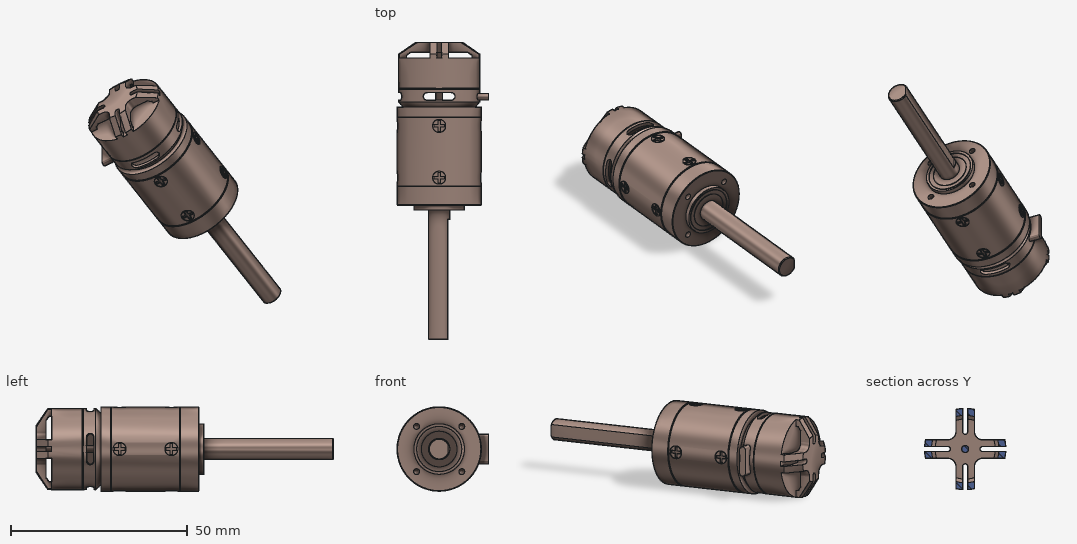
import cadquery as cq
import math


TOTAL_LENGTH = 84.2
GEARBOX_RADIUS = 11.95
GEARBOX_LENGTH = 27.8
EDGE_CHAMFER = 0.2
REAR_GROOVE_Y = -2.9
FRONT_GROOVE_Y = -22.4
GROOVE_WIDTH = 0.25
GROOVE_DEPTH = 0.2

BOSS_RADIUS = 7.15
BOSS_LENGTH = 1.35
BEARING_RADIUS = 6.4
BEARING_RECESS = 0.25
SEAL_RADIUS = 5.05
SEAL_HEIGHT = 0.2
MOUNT_HOLE_RADIUS = 0.8
MOUNT_HOLE_OFFSET = 6.4
MOUNT_HOLE_DEPTH = 3.4
DRILL_POINT_ANGLE = 118

SCREW_RADIUS = 1.85
SCREW_RECESS = 0.25
SCREW_YS = (-5.3, -19.95)
CROSS_LENGTH = 3.0
CROSS_WIDTH = 0.75
CROSS_DEPTH = 0.4

SHAFT_RADIUS = 3.0
SHAFT_CHAMFER = 0.25
FLAT_X = 2.4
FLAT_SETBACK = 2.6

MOTOR_LENGTH = 18.35
MOTOR_RADIUS = 11.5
WALL = 1.0
CONE_LENGTH = 1.5
CONE_RADIUS = 10.2
BASE_LENGTH = 5.05
BELL_GAP = 0.25
BELL_END_Y = 14.0
MOTOR_SHAFT_RADIUS = 1.0

WINDOW_LENGTH = 8.9
WINDOW_WIDTH = 2.1
WINDOW_Y = 3.0
WINDOW_ANGLES = (90, 180, 270)
CABLE_LENGTH = 8.5
CABLE_WIDTH = 1.85
CABLE_Y = 2.95
CABLE_END_X = 14.0

ARM_WIDTH = 5.3
ARM_THICKNESS = 2.9
ARM_FILLET = 2.3
ARM_FLAT_RADIUS = 6.65
LEG_HEIGHT = 1.0
LEG_INNER_RADIUS = 9.6
INNER_SLOPE_RADIUS = 8.5
INNER_LEG_HEIGHT = 0.7
ARM_SLOT_WIDTH = 1.35
ARM_SLOT_START = 4.2

CLEARANCE = 0.8

QUARTER_TURNS = (0, 90, 180, 270)


def revolved(points):
    """Solid of revolution about Y from (radius, y) points."""
    return cq.Workplane("XY").polyline(points).close().revolve(360, (0, 0), (0, 1))


def cylinder(radius, y_start, y_end):
    """Cylinder on the Y axis between two Y positions."""
    return cq.Workplane("XZ", origin=(0, y_start, 0)).circle(radius).extrude(y_start - y_end)


def turned(shape, angle):
    """Copy of a shape turned about the Y axis."""
    return shape.rotate((0, 0, 0), (0, 1, 0), angle)


def gearbox_case():
    front_y = -GEARBOX_LENGTH
    case = cylinder(GEARBOX_RADIUS, front_y, 0).faces("<Y").chamfer(EDGE_CHAMFER)
    for groove_y in (REAR_GROOVE_Y, FRONT_GROOVE_Y):
        start = groove_y - GROOVE_WIDTH / 2
        end = groove_y + GROOVE_WIDTH / 2
        ring = cylinder(GEARBOX_RADIUS + CLEARANCE, start, end)
        case = case.cut(ring.cut(cylinder(GEARBOX_RADIUS - GROOVE_DEPTH, start, end)))
    return case


def bearing_boss():
    end_y = -GEARBOX_LENGTH - BOSS_LENGTH
    floor_y = end_y + BEARING_RECESS
    boss = cylinder(BOSS_RADIUS, end_y, -GEARBOX_LENGTH)
    boss = boss.cut(cylinder(BEARING_RADIUS, end_y, floor_y))
    return boss.union(cylinder(SEAL_RADIUS, floor_y - SEAL_HEIGHT, floor_y))


def mount_hole():
    """Blind drilled hole with a conical bottom, on the Y axis."""
    bottom_y = MOUNT_HOLE_DEPTH - GEARBOX_LENGTH
    point_length = MOUNT_HOLE_RADIUS / math.tan(math.radians(DRILL_POINT_ANGLE / 2))
    return revolved(
        [
            (0, -GEARBOX_LENGTH),
            (MOUNT_HOLE_RADIUS, -GEARBOX_LENGTH),
            (MOUNT_HOLE_RADIUS, bottom_y),
            (0, bottom_y + point_length),
        ]
    )


def screw_recess(y):
    """Round recess with a cross slot in its floor, on the +Z side."""
    floor = cq.Workplane("XY", origin=(0, y, GEARBOX_RADIUS - SCREW_RECESS))
    recess = floor.circle(SCREW_RADIUS).extrude(SCREW_RECESS + CLEARANCE)
    for length, width in ((CROSS_LENGTH, CROSS_WIDTH), (CROSS_WIDTH, CROSS_LENGTH)):
        recess = recess.union(floor.rect(length, width).extrude(-CROSS_DEPTH))
    return recess


def output_shaft():
    tip_y = MOTOR_LENGTH - TOTAL_LENGTH
    root_y = -GEARBOX_LENGTH
    flat_y = root_y - BOSS_LENGTH - FLAT_SETBACK
    shaft = cylinder(SHAFT_RADIUS, tip_y, root_y).faces("<Y").chamfer(SHAFT_CHAMFER)
    flat_cut = cq.Workplane("XY").box(
        SHAFT_RADIUS, flat_y - tip_y, 2 * SHAFT_RADIUS, centered=(False, False, True)
    )
    return shaft.cut(flat_cut.translate((FLAT_X, tip_y, 0)))


def make_gearbox():
    gearbox = gearbox_case().union(bearing_boss()).union(output_shaft())
    for x in (-MOUNT_HOLE_OFFSET, MOUNT_HOLE_OFFSET):
        for z in (-MOUNT_HOLE_OFFSET, MOUNT_HOLE_OFFSET):
            gearbox = gearbox.cut(mount_hole().translate((x, 0, z)))
    for y in SCREW_YS:
        for angle in QUARTER_TURNS:
            gearbox = gearbox.cut(turned(screw_recess(y), angle))
    return gearbox


def stadium_bar(length, width, y, x_start, x_end):
    """Bar along X with a stadium section that is long in Z."""
    return (
        cq.Workplane("YZ", origin=(x_start, y, 0))
        .slot2D(length, width, 90)
        .extrude(x_end - x_start)
    )


def motor_base():
    """Cup with a conical foot, windows on three sides and the cable on the +X side."""
    inner_radius = MOTOR_RADIUS - WALL
    base = revolved(
        [
            (0, 0),
            (CONE_RADIUS, 0),
            (MOTOR_RADIUS, CONE_LENGTH),
            (MOTOR_RADIUS, BASE_LENGTH),
            (inner_radius, BASE_LENGTH),
            (inner_radius, CONE_LENGTH),
            (0, CONE_LENGTH),
        ]
    )
    window = stadium_bar(WINDOW_LENGTH, WINDOW_WIDTH, WINDOW_Y, CONE_RADIUS / 2, MOTOR_RADIUS + CLEARANCE)
    for angle in WINDOW_ANGLES:
        base = base.cut(turned(window, angle))
    wall_x = math.sqrt(inner_radius**2 - (CABLE_LENGTH / 2) ** 2)
    cable = stadium_bar(CABLE_LENGTH, CABLE_WIDTH, CABLE_Y, wall_x, CABLE_END_X)
    return base.union(cable)


def bell():
    start_y = BASE_LENGTH + BELL_GAP
    shell = cylinder(MOTOR_RADIUS, start_y, BELL_END_Y)
    return shell.cut(cylinder(MOTOR_RADIUS - WALL, start_y, BELL_END_Y - WALL))


def bell_arms():
    """Four slotted arms that rise from the bell and meet in a filleted cross."""
    spread = revolved(
        [
            (0, MOTOR_LENGTH),
            (ARM_FLAT_RADIUS, MOTOR_LENGTH),
            (MOTOR_RADIUS, BELL_END_Y + LEG_HEIGHT),
            (MOTOR_RADIUS, BELL_END_Y),
            (LEG_INNER_RADIUS, BELL_END_Y),
            (LEG_INNER_RADIUS, BELL_END_Y + INNER_LEG_HEIGHT),
            (INNER_SLOPE_RADIUS, MOTOR_LENGTH - ARM_THICKNESS),
            (0, MOTOR_LENGTH - ARM_THICKNESS),
        ]
    )
    height = MOTOR_LENGTH - BELL_END_Y
    plane = cq.Workplane("XZ", origin=(0, BELL_END_Y, 0))
    span = 2 * (MOTOR_RADIUS + CLEARANCE)
    cross = plane.rect(span, ARM_WIDTH).extrude(-height)
    cross = cross.union(plane.rect(ARM_WIDTH, span).extrude(-height))
    corner = ARM_WIDTH / 2 + CLEARANCE
    inner_corners = cq.selectors.BoxSelector((-corner, 0, -corner), (corner, MOTOR_LENGTH, corner))
    cross = cross.edges("|Y").edges(inner_corners).fillet(ARM_FILLET)
    arms = spread.intersect(cross)

    slot_length = MOTOR_RADIUS
    slot_plane = plane.center(ARM_SLOT_START + slot_length / 2, 0)
    slot = slot_plane.slot2D(slot_length, ARM_SLOT_WIDTH).extrude(-height)
    for angle in QUARTER_TURNS:
        arms = arms.cut(turned(slot, angle))
    return arms


def make_motor():
    motor_shaft = cylinder(MOTOR_SHAFT_RADIUS, 0, MOTOR_LENGTH)
    return motor_base().union(motor_shaft).union(bell()).union(bell_arms())


gearbox = make_gearbox()
motor = make_motor()

result = cq.Compound.makeCompound([gearbox.val(), motor.val()])